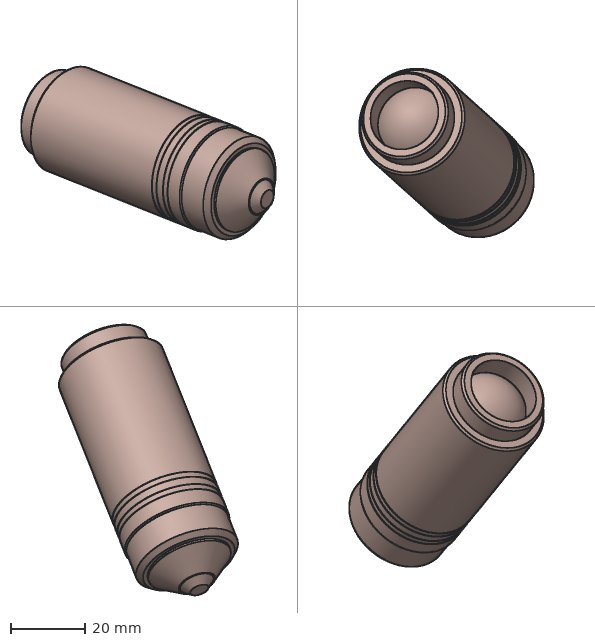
import cadquery as cq

length = 78.9
edge_chamfer = 0.6

collar_radius = 12.2
collar_length = 6.0
bore_radius = 9.6
bore_depth = 6.55
dome_height = 4.9

barrel_radius = 15.0
barrel_end = 60.5
groove_depth = 0.15
groove_width = 1.65
groove_starts = (50.4, 54.4)

sleeve_radius = 14.6
barrel_chamfer = barrel_radius - sleeve_radius
sleeve_start = barrel_end + barrel_chamfer
sleeve_chamfer_start = 68.7
sleeve_end = 70.2
sleeve_chamfer = sleeve_end - sleeve_chamfer_start

nose_radius = 11.8
nose_start = 70.8
tip_start = 76.75
cone_end_radius = 5.2
tip_base_radius = 4.8
tip_radius = 2.6


def cylinder(radius, start, end):
    """Solid cylinder on the X axis between two stations."""
    return cq.Workplane("YZ", origin=(start, 0, 0)).circle(radius).extrude(end - start)


def revolve_about_x(profile):
    """Turn a closed (X, radius) profile about the X axis."""
    return profile.close().revolve(360, (0, 0, 0), (1, 0, 0))


def make_collar():
    collar = cylinder(collar_radius, 0, collar_length + edge_chamfer)
    return collar.faces("<X").chamfer(edge_chamfer)


def make_barrel():
    barrel = cylinder(barrel_radius, collar_length, sleeve_start)
    barrel = barrel.faces("<X").chamfer(edge_chamfer)
    barrel = barrel.faces(">X").chamfer(barrel_chamfer)
    for start in groove_starts:
        end = start + groove_width
        core = cylinder(barrel_radius - groove_depth, start, end)
        barrel = barrel.cut(cylinder(barrel_radius, start, end).cut(core))
    return barrel


def make_sleeve():
    sleeve = cylinder(sleeve_radius, barrel_end, sleeve_end)
    return sleeve.faces(">X").chamfer(sleeve_chamfer)


def make_nose():
    return revolve_about_x(
        cq.Workplane("XY")
        .moveTo(sleeve_end, 0)
        .lineTo(sleeve_end, nose_radius)
        .lineTo(nose_start, nose_radius)
        .lineTo(tip_start, cone_end_radius)
        .lineTo(tip_start, tip_base_radius)
        .lineTo(length, tip_radius)
        .lineTo(length, 0)
    )


def make_bore():
    """Bore cutter whose floor leaves a convex spherical dome facing the rear."""
    dome_sphere_radius = (bore_radius**2 + dome_height**2) / (2 * dome_height)
    dome_apex = bore_depth - dome_height
    dome = cq.Workplane("XY").sphere(dome_sphere_radius)
    dome = dome.translate((dome_apex + dome_sphere_radius, 0, 0))
    return cylinder(bore_radius, 0, bore_depth).cut(dome)


result = (
    make_collar()
    .union(make_barrel())
    .union(make_sleeve())
    .union(make_nose())
    .cut(make_bore())
)